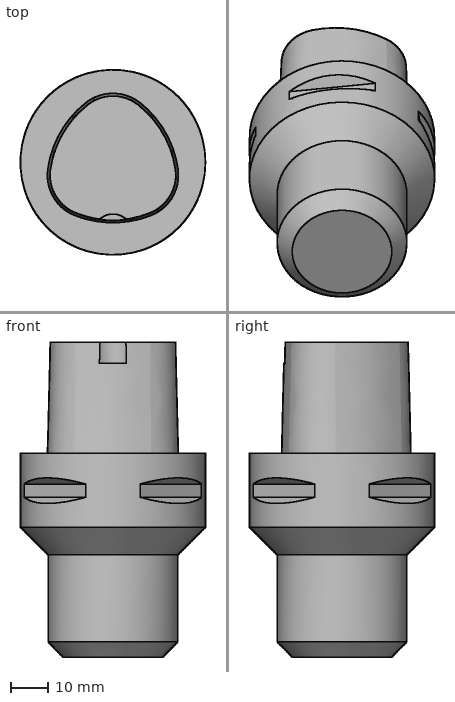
import cadquery as cq
import math

total_height = 85.0
flange_diameter = 50.0
shank_diameter = 35.0
flange_top = 55.1
flange_height = 20.0
end_chamfer_height = 4.2
end_diameter = 26.9

lobe_reach = 18.6
flat_reach = 16.3
lobe_radius = 11.7
polygon_taper = math.degrees(math.atan(1 / 40))

groove_count = 4
groove_floor_distance = 22.1
groove_floor_height = 3.6
groove_center_below_flange_top = 10.1
groove_flank_angle = 30.0

keyway_radius = 5.1
keyway_deepest_y = -13.9
keyway_depth = 5.7


def polar(radius, degrees):
    angle = math.radians(degrees)
    return (radius * math.cos(angle), radius * math.sin(angle))


def turned_body():
    flange_radius = flange_diameter / 2
    shank_radius = shank_diameter / 2
    flange_bottom = flange_top - flange_height
    cone_bottom = flange_bottom - (flange_radius - shank_radius)
    profile = [
        (0, 0),
        (end_diameter / 2, 0),
        (shank_radius, end_chamfer_height),
        (shank_radius, cone_bottom),
        (flange_radius, flange_bottom),
        (flange_radius, flange_top),
        (0, flange_top),
    ]
    return cq.Workplane("XZ").polyline(profile).close().revolve(360, (0, 0), (0, 1))


def polygon():
    """Three lobe arcs joined tangentially by three flatter arcs."""
    lobe_center = lobe_reach - lobe_radius
    offset = flat_reach - lobe_center / 2
    side_radius = (0.75 * lobe_center**2 + offset**2 - lobe_radius**2) / (2 * (offset - lobe_radius))
    side_center = side_radius - flat_reach
    half_span = math.sqrt(0.75) * lobe_center * side_radius / (side_radius - lobe_radius)
    joint_distance = math.sqrt(side_radius**2 - half_span**2) - side_center
    joint_reach = math.hypot(half_span, joint_distance)
    joint_angle = math.degrees(math.atan2(half_span, joint_distance))

    outline = cq.Workplane("XY").workplane(offset=flange_top).moveTo(*polar(joint_reach, -90 - joint_angle))
    for side_angle in (-90, 30, 150):
        outline = outline.threePointArc(
            polar(flat_reach, side_angle), polar(joint_reach, side_angle + joint_angle)
        )
        outline = outline.threePointArc(
            polar(lobe_reach, side_angle + 60), polar(joint_reach, side_angle + 120 - joint_angle)
        )
    return outline.close().extrude(total_height - flange_top, taper=polygon_taper)


def gripper_groove(angle):
    """Straight trapezoidal groove across the flange rim, facing the given direction."""
    outer_distance = flange_diameter / 2 + 0.85
    floor_half = groove_floor_height / 2
    flank_rise = (outer_distance - groove_floor_distance) * math.tan(math.radians(groove_flank_angle))
    section = [
        (groove_floor_distance, -floor_half),
        (outer_distance, -floor_half - flank_rise),
        (outer_distance, floor_half + flank_rise),
        (groove_floor_distance, floor_half),
    ]
    groove = cq.Workplane("XZ").polyline(section).close().extrude(flange_diameter / 2, both=True)
    center_z = flange_top - groove_center_below_flange_top
    return groove.translate((0, 0, center_z)).rotate((0, 0, 0), (0, 0, 1), angle)


def keyway():
    return (
        cq.Workplane("XY")
        .workplane(offset=total_height - keyway_depth)
        .center(0, keyway_deepest_y - keyway_radius)
        .circle(keyway_radius)
        .extrude(keyway_depth)
    )


result = turned_body().union(polygon()).cut(keyway())
for index in range(groove_count):
    result = result.cut(gripper_groove((index + 0.5) * 360 / groove_count))